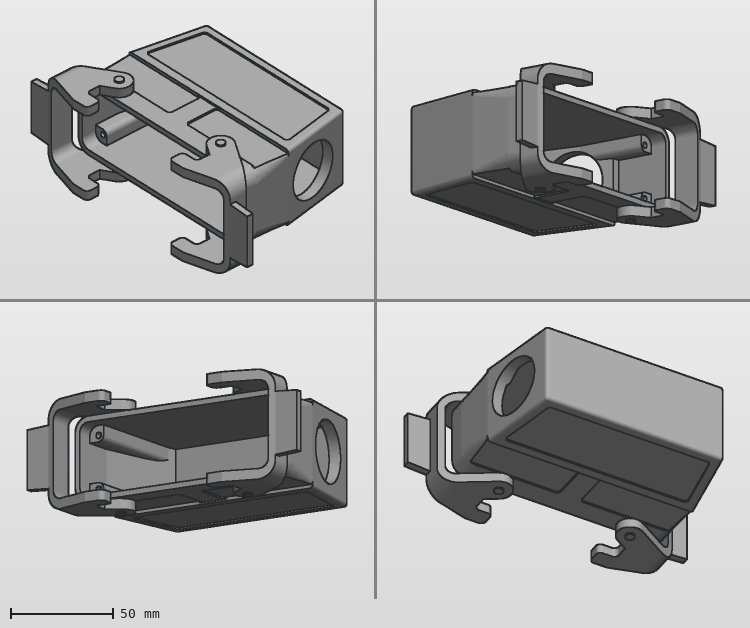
import cadquery as cq
import math


overall_y = 97.7
select_margin = 0.2

top_y = 76.2
step_y = 32.0
top_half_x = 49.9
step_half_x = 58.1
cover_half_z = 22.5
cover_fillet = 1.9
side_slope = (step_half_x - top_half_x) / (top_y - step_y)

rim_half_x = 59.8
body_half_z = 21.5
rim_height = 9.0
rim_corner_radius = 7.5
middle_corner_radius = 5.4
step_corner_radius = 2.2

cavity_half_x = 57.1
cavity_half_z = 18.5
cavity_corner_radius = 5.0
back_y = 72.4
left_back_x = -48.2
right_back_x = 44.4
pad_start_y = 28.8
entry_diameter = 32.0
entry_x = 48.5

post_inner_x = 49.1
post_inner_z = 10.2
post_radius = 3.0
post_start_y = rim_height
screw_x = 52.0
screw_z = 13.5
screw_diameter = 3.0
screw_depth = 12.6

recess_depth = 1.0
recess_radius = 2.0
panel_bottom_y = 37.0
panel_top_y = 70.8
panel_bottom_half_x = 51.6
grip_inner_x = 6.0
grip_bottom_y = 11.3

pivot_x = 37.0
pivot_y = 6.3
pivot_radius = 7.1
pin_diameter = 4.9
pin_half_z = 28.5
pin_root_depth = 1.1
arm_half_z = 27.7
arm_thickness = 5.4
latch_outer_x = 66.3
band_thickness = 3.5
band_outer_radius = 9.1
band_inner_radius = 5.0
band_top_y = -3.5
band_bottom_y = -14.2
hook_bottom_y = top_y - overall_y
hook_top_y = -12.5
hook_back_x = 40.0
hook_tip_x = 29.9
hook_radius = 2.5
arm_angle = math.radians(31.7)

tab_end_x = 78.7
tab_thickness = 3.8
tab_root_half_z = 16.0
tab_end_half_z = 15.1


def rounded_rectangle(half_x, half_z, radius):
    return cq.Sketch().rect(2 * half_x, 2 * half_z).vertices().fillet(radius)


def rounded_block(half_x, half_z, radius, height):
    """Rounded rectangle extruded from the rim plane toward +Y."""
    return cq.Workplane("XZ").placeSketch(rounded_rectangle(half_x, half_z, radius)).extrude(-height)


def prism(points, half_z):
    """Outline in XY extruded symmetrically about Z = 0."""
    return cq.Workplane("XY").polyline(points).close().extrude(half_z, both=True)


def make_cover():
    outline = [
        (-step_half_x, step_y),
        (step_half_x, step_y),
        (top_half_x, top_y),
        (-top_half_x, top_y),
    ]
    cover = prism(outline, cover_half_z)
    return cover.edges("not <Y").fillet(cover_fillet)


def make_body():
    """Straight rim, then a taper whose rounded corners tighten toward the cover."""
    rim = rounded_block(rim_half_x, body_half_z, rim_corner_radius, rim_height)
    taper_height = step_y - rim_height
    radii = (rim_corner_radius, middle_corner_radius, step_corner_radius)
    sections = []
    for index, radius in enumerate(radii):
        fraction = index / (len(radii) - 1)
        half_x = rim_half_x + fraction * (step_half_x - rim_half_x)
        rise = cq.Location(cq.Vector(0, 0, -fraction * taper_height))
        sections.append(rounded_rectangle(half_x, body_half_z, radius).moved(rise))
    taper = cq.Workplane("XZ", origin=(0, rim_height, 0)).placeSketch(*sections).loft()
    return rim.union(taper)


def make_cavity():
    left_slope_y = back_y - (cavity_half_x + left_back_x) / side_slope
    pad_start_x = right_back_x + (back_y - pad_start_y) * side_slope
    outline = [
        (-cavity_half_x, 0),
        (cavity_half_x, 0),
        (cavity_half_x, pad_start_y),
        (pad_start_x, pad_start_y),
        (right_back_x, back_y),
        (left_back_x, back_y),
        (-cavity_half_x, left_slope_y),
    ]
    rounded = rounded_block(cavity_half_x, cavity_half_z, cavity_corner_radius, back_y)
    return prism(outline, cavity_half_z).intersect(rounded)


def make_cable_entry():
    """Round hole square to the sloping +X wall."""
    entry_y = back_y - (entry_x - right_back_x) / side_slope
    wall_plane = cq.Plane(origin=(entry_x, entry_y, 0), xDir=(0, 0, 1), normal=(1, side_slope, 0))
    reach = rim_half_x - right_back_x
    return cq.Workplane(wall_plane).circle(entry_diameter / 2).extrude(reach / 2, both=True)


def make_posts():
    """Four full-length posts, trimmed to the cavity, with blind screw holes."""
    size_x = rim_half_x - post_inner_x
    size_z = body_half_z - post_inner_z
    posts = cq.Workplane("XY")
    screws = cq.Workplane("XY")
    for sx in (-1, 1):
        for sz in (-1, 1):
            center_x = sx * (post_inner_x + size_x / 2)
            center_z = sz * (post_inner_z + size_z / 2)
            post = (
                cq.Workplane("XZ", origin=(center_x, post_start_y, center_z))
                .rect(size_x, size_z)
                .extrude(post_start_y - top_y)
                .edges("|Y")
                .edges("<X" if sx > 0 else ">X")
                .edges("<Z" if sz > 0 else ">Z")
                .fillet(post_radius)
            )
            screw = (
                cq.Workplane("XZ", origin=(sx * screw_x, post_start_y, sz * screw_z))
                .circle(screw_diameter / 2)
                .extrude(-screw_depth)
            )
            posts = posts.union(post)
            screws = screws.union(screw)
    return posts, screws


def make_recesses():
    """Cutters for the panel and two grip recesses of the +Z face and, mirrored, the -Z face."""
    panel_top_half_x = panel_bottom_half_x - (panel_top_y - panel_bottom_y) * side_slope
    panel = (
        cq.Workplane("XY", origin=(0, 0, cover_half_z - recess_depth))
        .polyline([
            (-panel_bottom_half_x, panel_bottom_y),
            (panel_bottom_half_x, panel_bottom_y),
            (panel_top_half_x, panel_top_y),
            (-panel_top_half_x, panel_top_y),
        ])
        .close()
        .extrude(2 * recess_depth)
        .edges("|Z")
        .fillet(recess_radius)
    )
    grip_floor_z = body_half_z - recess_depth
    grip = (
        cq.Workplane("XY", origin=(0, 0, grip_floor_z))
        .moveTo(grip_inner_x, grip_bottom_y)
        .lineTo(rim_half_x, grip_bottom_y)
        .lineTo(rim_half_x, step_y)
        .lineTo(grip_inner_x, step_y)
        .close()
        .extrude(2 * recess_depth)
        .edges("|Z and <X")
        .fillet(recess_radius)
    )
    upper_face = panel.union(grip).union(grip.mirror("YZ"))
    return upper_face.union(upper_face.mirror("XY"))


def make_hood():
    cavity = make_cavity()
    posts, screws = make_posts()
    hood = make_cover().union(make_body()).cut(make_recesses())
    hood = hood.cut(cavity).union(posts.intersect(cavity))
    return hood.cut(screws).cut(make_cable_entry())


def edge_along_z(x, y):
    """Selector for the edge that stands at (x, y), parallel to Z."""
    return cq.selectors.BoxSelector(
        (x - select_margin, y - select_margin, -select_margin),
        (x + select_margin, y + select_margin, select_margin),
    )


def bent_block(end_x, half_z, radius):
    """Block from X = 0 to end_x, deeper than the latch along Y, with both +X edges rounded."""
    return (
        cq.Workplane("XZ")
        .moveTo(end_x / 2, 0)
        .rect(end_x, 2 * half_z)
        .extrude(overall_y, both=True)
        .edges("|Y and >X")
        .fillet(radius)
    )


def make_right_latch():
    """Bent-strap latch: its side outline crossed with the U-shaped strap, plus pins and tab."""
    normal_x = pivot_radius * math.sin(arm_angle)
    normal_y = pivot_radius * math.cos(arm_angle)
    upper_x = pivot_x + normal_x
    upper_y = pivot_y + normal_y
    lower_x = pivot_x - normal_x
    lower_y = pivot_y - normal_y
    throat_y = lower_y - (hook_back_x - lower_x) * math.tan(arm_angle)
    outline = (
        cq.Workplane("XY")
        .moveTo(upper_x, upper_y)
        .lineTo(latch_outer_x, band_top_y)
        .lineTo(latch_outer_x, band_bottom_y)
        .lineTo(hook_back_x, hook_bottom_y)
        .lineTo(hook_tip_x, hook_bottom_y)
        .lineTo(hook_tip_x, hook_top_y)
        .lineTo(hook_back_x, hook_top_y)
        .lineTo(hook_back_x, throat_y)
        .lineTo(lower_x, lower_y)
        .threePointArc((pivot_x - normal_y, pivot_y + normal_x), (upper_x, upper_y))
        .close()
        .extrude(arm_half_z, both=True)
    )
    rounded_corners = (
        (hook_tip_x, hook_bottom_y),
        (hook_tip_x, hook_top_y),
        (hook_back_x, hook_top_y),
    )
    for corner in rounded_corners:
        outline = outline.edges(edge_along_z(*corner)).fillet(hook_radius)

    band_inner_x = latch_outer_x - band_thickness
    inner_half_z = arm_half_z - arm_thickness
    strap = bent_block(latch_outer_x, arm_half_z, band_outer_radius)
    gap = bent_block(band_inner_x, inner_half_z, band_inner_radius)
    latch = outline.intersect(strap.cut(gap))

    tab_root_x = band_inner_x + band_thickness / 2
    tab = (
        cq.Workplane("XZ", origin=(0, band_bottom_y + tab_thickness, 0))
        .polyline([
            (tab_root_x, -tab_root_half_z),
            (tab_end_x, -tab_end_half_z),
            (tab_end_x, tab_end_half_z),
            (tab_root_x, tab_root_half_z),
        ])
        .close()
        .extrude(tab_thickness)
    )
    latch = latch.union(tab)
    pin_root_z = body_half_z - pin_root_depth
    pin = (
        cq.Workplane("XY", origin=(pivot_x, pivot_y, pin_root_z))
        .circle(pin_diameter / 2)
        .extrude(pin_half_z - pin_root_z)
    )
    return latch.union(pin).union(pin.mirror("XY"))


right_latch = make_right_latch()
result = make_hood().union(right_latch).union(right_latch.mirror("YZ"))